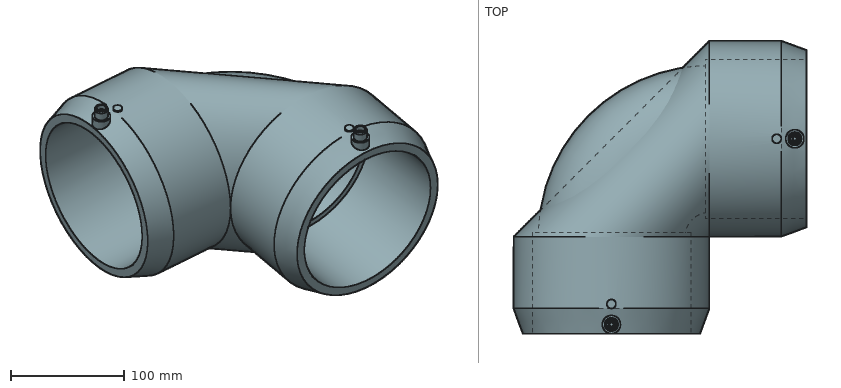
import cadquery as cq

outer_diameter = 173.0
socket_diameter = 140.0
bore_diameter = 129.3
overall_length = 258.5
overall_height = 183.5
taper_length = 22.5
mouth_diameter = 156.5
socket_depth = 89.5

y_arm_terminal_inset = 8.3
x_arm_terminal_inset = 10.3
shroud_diameter = 16.0
shroud_rise = 1.3
cap_diameter = 12.0
cap_chamfer_width = 0.8
cap_chamfer_height = 1.5
well_diameter = 8.0
well_depth = 7.8
contact_diameter = 5.0
contact_height = 5.2
contact_chamfer = 0.8

indicator_diameter = 8.0
indicator_inset = 26.4
indicator_rise = 1.3

outer_radius = outer_diameter / 2
mouth_radius = mouth_diameter / 2
mouth_distance = overall_length - outer_radius
bend_start = outer_radius
terminal_top = overall_height - outer_radius
shroud_top = outer_radius + shroud_rise
root_z = (socket_diameter / 2 + mouth_radius) / 2


def upright(diameter, distance, bottom, top):
    """Vertical cylinder above the axis of the -Y arm."""
    return cq.Workplane("XY", origin=(0, -distance, bottom)).circle(diameter / 2).extrude(top - bottom)


def bend(diameter):
    """Quarter turn from the -Y arm to the +X arm."""
    path = cq.Workplane("XY").moveTo(0, -bend_start).radiusArc((bend_start, 0), bend_start)
    return cq.Workplane("XZ", origin=(0, -bend_start, 0)).circle(diameter / 2).sweep(path)


def arm():
    """Straight -Y arm with a tapered mouth."""
    profile = [
        (0, -bend_start),
        (outer_radius, -bend_start),
        (outer_radius, taper_length - mouth_distance),
        (mouth_radius, -mouth_distance),
        (0, -mouth_distance),
    ]
    return cq.Workplane("XY").polyline(profile).close().revolve(360, (0, 0), (0, 1))


def socket():
    """Pipe socket to remove from the -Y arm."""
    start = mouth_distance - socket_depth
    return cq.Workplane("XZ", origin=(0, -start, 0)).circle(socket_diameter / 2).extrude(socket_depth)


def terminal(inset):
    """Stepped terminal with a contact standing in its well."""
    distance = mouth_distance - inset
    well_floor = terminal_top - well_depth
    shroud = upright(shroud_diameter, distance, root_z, shroud_top)
    cap = upright(cap_diameter, distance, root_z, terminal_top)
    cap = cap.faces(">Z").chamfer(cap_chamfer_height, cap_chamfer_width)
    well = upright(well_diameter, distance, well_floor, terminal_top)
    contact = upright(contact_diameter, distance, root_z, well_floor + contact_height)
    contact = contact.faces(">Z").chamfer(contact_chamfer)
    return shroud.union(cap).cut(well).union(contact)


def indicator():
    """Low round fusion indicator beside the terminal."""
    return upright(indicator_diameter, mouth_distance - indicator_inset, root_z, outer_radius + indicator_rise)


def on_x_arm(feature):
    """Quarter turn that carries a -Y arm feature to the +X arm."""
    return feature.rotate((0, 0, 0), (0, 0, 1), 90)


def both_arms(feature):
    return [feature, on_x_arm(feature)]


def make_elbow():
    """Elbow in one piece with the terminal of its +X arm."""
    body = bend(outer_diameter)
    for feature in both_arms(arm()) + both_arms(indicator()):
        body = body.union(feature)
    body = body.union(on_x_arm(terminal(x_arm_terminal_inset)))
    for feature in both_arms(socket()):
        body = body.cut(feature)
    return body.cut(bend(bore_diameter))


def make_loose_terminal():
    """Terminal resting on the taper of the -Y arm."""
    return terminal(y_arm_terminal_inset).cut(arm())


elbow = make_elbow()
loose_terminal = make_loose_terminal()
result = cq.Compound.makeCompound([elbow.solids().val(), loose_terminal.solids().val()])